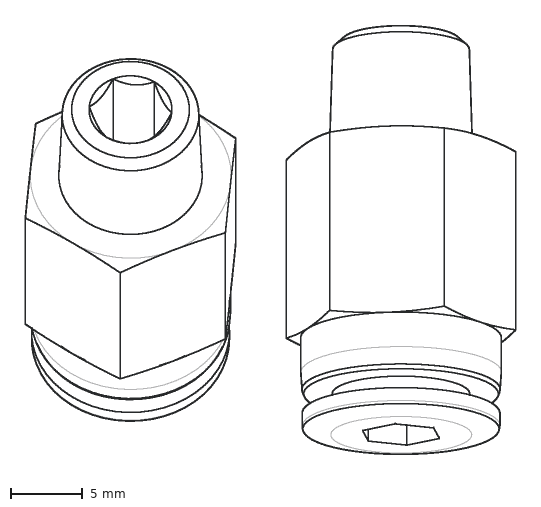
import cadquery as cq
import math

total_height = 28.4
cone_top = 0.4
collar_edge = 0.62
collar_top = 1.53
neck_bottom = 1.85
body_bottom = 2.93
body_chamfer_top = 3.25
body_taper_top = 4.5
hex_bottom = 6.95
hex_top = 20.4
thread_chamfer_height = 0.62

hex_across_flats = 14.0
hex_chamfer_angle = 15.0

neck_diameter = 9.6
collar_diameter = 13.8
collar_edge_diameter = 13.7
cone_tip_diameter = 9.83
neck_flare_diameter = neck_diameter + 2 * (neck_bottom - collar_top)
body_diameter = hex_across_flats
body_taper_diameter = 13.83
body_end_diameter = 13.58
thread_base_diameter = 10.0
thread_end_diameter = 9.55
thread_tip_diameter = 8.2

socket_across_flats = 5.0
lead_in_angle = 36.0


def hex_corner_diameter(across_flats):
    return across_flats / math.cos(math.radians(30))


def revolve_profile(stations):
    """Solid of revolution about Z through (diameter, height) stations."""
    outline = [(diameter / 2, height) for diameter, height in stations]
    outline = [(0, stations[0][1])] + outline + [(0, stations[-1][1])]
    return cq.Workplane("XZ").polyline(outline).close().revolve(360, (0, 0), (0, 1))


def hex_body():
    """Hexagon with corners on X, its ends trimmed by shallow cones."""
    corner_diameter = hex_corner_diameter(hex_across_flats)
    corner_drop = (corner_diameter - hex_across_flats) / 2 * math.tan(math.radians(hex_chamfer_angle))
    prism = (
        cq.Workplane("XY")
        .workplane(offset=hex_bottom)
        .polygon(6, corner_diameter)
        .extrude(hex_top - hex_bottom)
    )
    envelope = revolve_profile([
        (hex_across_flats, hex_bottom),
        (corner_diameter, hex_bottom + corner_drop),
        (corner_diameter, hex_top - corner_drop),
        (hex_across_flats, hex_top),
    ])
    return prism.intersect(envelope)


def collar_and_sleeve():
    """Release collar with a conical face, its neck and the tapered sleeve."""
    return revolve_profile([
        (cone_tip_diameter, 0),
        (collar_edge_diameter, cone_top),
        (collar_diameter, collar_edge),
        (collar_diameter, collar_top),
        (neck_flare_diameter, collar_top),
        (neck_diameter, neck_bottom),
        (neck_diameter, body_bottom),
        (body_end_diameter, body_bottom),
        (body_taper_diameter, body_chamfer_top),
        (body_diameter, body_taper_top),
        (body_diameter, hex_bottom),
    ])


def threaded_end():
    """Tapered spigot with a chamfered tip."""
    return revolve_profile([
        (thread_base_diameter, hex_top),
        (thread_end_diameter, total_height - thread_chamfer_height),
        (thread_tip_diameter, total_height),
    ])


def hex_passage():
    """Through hexagon with corners on Y, opened by a cone at the top."""
    corner_diameter = hex_corner_diameter(socket_across_flats)
    lead_in_depth = (corner_diameter - socket_across_flats) / 2 / math.tan(math.radians(lead_in_angle))
    hexagon = (
        cq.Workplane("XY")
        .polygon(6, corner_diameter)
        .extrude(total_height)
        .rotate((0, 0, 0), (0, 0, 1), 90)
    )
    lead_in = revolve_profile([
        (socket_across_flats, total_height - lead_in_depth),
        (corner_diameter, total_height),
    ])
    return hexagon.union(lead_in)


result = hex_body().union(collar_and_sleeve()).union(threaded_end()).cut(hex_passage())